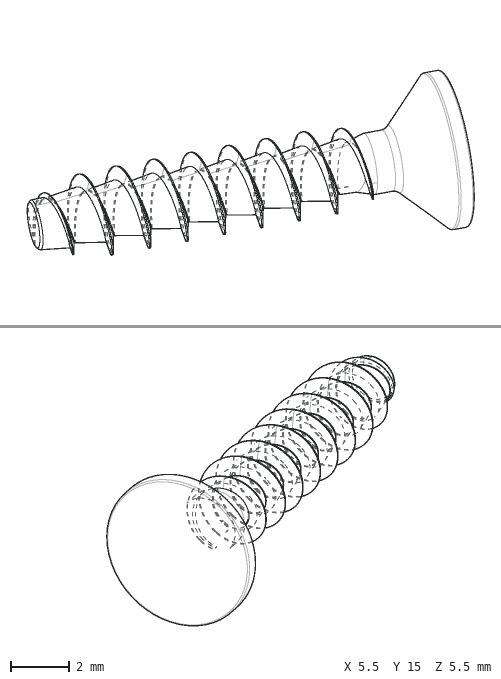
import cadquery as cq
import math


length = 15.0
head_radius = 5.5 / 2
rim_height = 0.53
rim_top_fillet = 0.06
rim_lower_fillet = 0.1
neck_radius = 1.075
neck_fillet = 0.36
neck_end_depth = 3.0

core_radius = 0.845
neck_taper_length = 0.75
tip_chamfer = 0.045

pitch = 1.34
crest_radius = 3.0 / 2
crest_width = 0.05
tooth_half_width = 0.19
ramp_radius = 1.03
ramp_low_radius = core_radius + 0.015
ramp_end_radius = 0.88
ramp_crest_gap = 0.03
ramp_clearance = 0.02
buried_radius = core_radius - 0.1
thread_start_depth = 2.935

ramp_full_turn = 0.5
crest_full_turn = 1.0
crest_fade_turn = 7.5
ramp_fade_turn = 8.0
ramp_end_turn = 8.5
thread_end_turn = 9.0
start_crest_radius = 1.19
end_crest_radius = 0.87

stretch_turns = 0.5
steps_per_stretch = 12


def interpolate(turn, first_turn, last_turn, first_value, last_value):
    """Straight-line change of a value between two turns, held constant outside them."""
    fraction = (turn - first_turn) / (last_turn - first_turn)
    fraction = min(max(fraction, 0.0), 1.0)
    return first_value + fraction * (last_value - first_value)


def make_body():
    """Head, neck and core turned as one solid; the 45 degree head cone meets the neck."""
    cone_end_depth = rim_height + head_radius - neck_radius
    taper_end_depth = neck_end_depth + neck_taper_length
    body = (
        cq.Workplane("XY")
        .lineTo(head_radius, 0)
        .lineTo(head_radius, -rim_height)
        .lineTo(neck_radius, -cone_end_depth)
        .lineTo(neck_radius, -neck_end_depth)
        .lineTo(core_radius, -taper_end_depth)
        .lineTo(core_radius, -length)
        .lineTo(0, -length)
        .close()
        .revolve(360, (0, 0, 0), (0, 1, 0))
    )

    body = body.edges(cq.NearestToPointSelector((0, -cone_end_depth, neck_radius))).fillet(neck_fillet)
    body = body.edges(cq.NearestToPointSelector((0, -rim_height, head_radius))).fillet(rim_lower_fillet)
    return body.faces(">Y").edges().fillet(rim_top_fillet)


def crest_radius_at(turn):
    """Crest radius, rising at the thread start and fading towards the tip."""
    if turn < crest_fade_turn:
        return interpolate(turn, 0, crest_full_turn, start_crest_radius, crest_radius)
    return interpolate(turn, crest_fade_turn, thread_end_turn, crest_radius, end_crest_radius)


def ramp_radius_at(turn):
    """Radius at the high end of the ramp, always a little below the crest."""
    if turn < ramp_fade_turn:
        radius = interpolate(turn, 0, ramp_full_turn, ramp_low_radius, ramp_radius)
    else:
        radius = interpolate(turn, ramp_fade_turn, ramp_end_turn, ramp_radius, ramp_end_radius)
    return min(radius, crest_radius_at(turn) - ramp_crest_gap)


def tooth_scale_at(turn):
    """Tooth size relative to the full tooth; width and height shrink together."""
    return (crest_radius_at(turn) - buried_radius) / (crest_radius - buried_radius)


def thread_section(turn):
    """Corners (depth, radius) of the thread section: a tooth with a ramp on its tip side.

    The ramp falls from the tooth almost to the core and ends just before the next tooth.
    """
    depth = thread_start_depth + turn * pitch
    crest = crest_radius_at(turn)
    ramp = ramp_radius_at(turn)
    half_width = tooth_half_width * tooth_scale_at(turn)
    half_crest = crest_width / 2 * tooth_scale_at(turn)
    flank_slope = (half_width - half_crest) / (crest - buried_radius)
    ramp_start = depth + half_crest + flank_slope * (crest - ramp)
    next_half_width = tooth_half_width * tooth_scale_at(turn + 1)
    ramp_end = depth + pitch - next_half_width - ramp_clearance
    return [
        (depth - half_width, buried_radius),
        (depth - half_crest, crest),
        (depth + half_crest, crest),
        (ramp_start, ramp),
        (ramp_end, min(ramp, ramp_low_radius)),
        (ramp_end, buried_radius),
    ]


def section_points(turn):
    """Section corners placed around the axis, right-handed and starting at -Z."""
    angle = 2 * math.pi * turn
    return [
        cq.Vector(radius * math.sin(angle), -depth, -radius * math.cos(angle))
        for depth, radius in thread_section(turn)
    ]


def make_thread():
    """Helical solid sewn from ruled faces between neighbouring corner curves."""
    faces = []
    for stretch in range(round(thread_end_turn / stretch_turns)):
        first_turn = stretch * stretch_turns
        turns = [
            first_turn + stretch_turns * step / steps_per_stretch
            for step in range(steps_per_stretch + 1)
        ]
        corner_paths = zip(*[section_points(turn) for turn in turns])
        curves = [cq.Edge.makeSpline(list(path)) for path in corner_paths]
        for curve, next_curve in zip(curves, curves[1:] + curves[:1]):
            faces.append(cq.Face.makeRuledSurface(curve, next_curve))
    for turn in (0, thread_end_turn):
        outline = cq.Wire.makePolygon(section_points(turn), close=True)
        faces.append(cq.Face.makeFromWires(outline))
    return cq.Solid.makeSolid(cq.Shell.makeShell(faces)).fix()


def make_tip_trim():
    """Solid beyond the tip, dished so that cutting it away leaves a flat tip with a 45 degree chamfer."""
    tip_face_radius = core_radius - tip_chamfer
    tool_reach = 2 * pitch
    tool_radius = 2 * crest_radius
    cone_height = tool_radius - tip_face_radius
    return (
        cq.Workplane("XY")
        .moveTo(0, -length)
        .lineTo(tip_face_radius, -length)
        .lineTo(tool_radius, -length + cone_height)
        .lineTo(tool_radius, -length - tool_reach)
        .lineTo(0, -length - tool_reach)
        .close()
        .revolve(360, (0, 0, 0), (0, 1, 0))
    )


result = make_body().union(cq.Workplane(obj=make_thread())).cut(make_tip_trim())